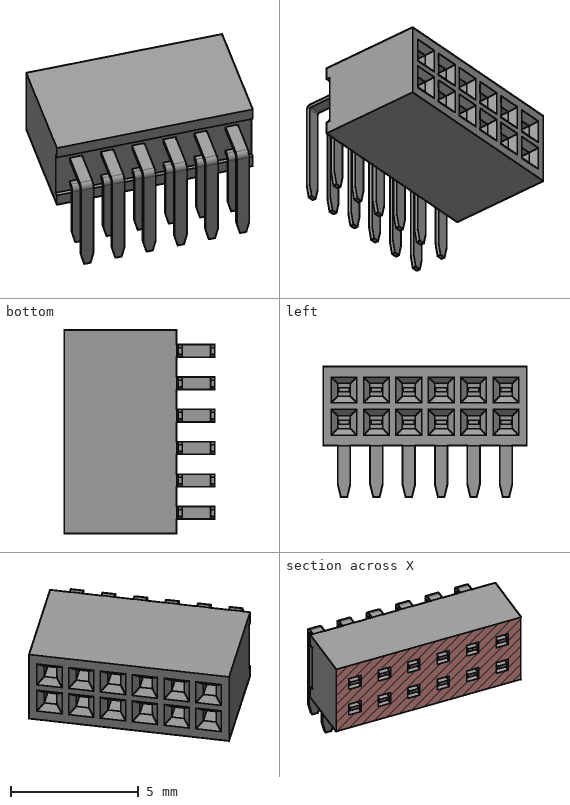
import cadquery as cq

housing_length = 4.4
housing_width = 7.97
housing_height = 3.1
recess_depth = 0.16
recess_margin = 0.52

columns = 6
pitch = 1.27
row_heights = (-pitch / 2, pitch / 2)
column_offsets = [(i - (columns - 1) / 2) * pitch for i in range(columns)]

socket_mouth = 1.005
socket_bore = 0.5
lead_in_depth = (socket_mouth - socket_bore) / 2
socket_depth = 2.39

overall_length = 5.89
overall_height = 5.12
pin_width = 0.5
pin_thickness = 0.16
bend_radius = 0.22
tip_length = 0.51
tip_width = 0.255
blade_width = 0.42
blade_length = 0.8

pin_bottom = housing_height / 2 - overall_height


def make_bar(start_x, length, width, height):
    """Box running along +X from start_x, centred on the X axis."""
    bar = cq.Workplane("XY").box(length, width, height, centered=(False, True, True))
    return bar.translate((start_x, 0, 0))


def make_housing():
    """Block with a full-width recess across its pin side."""
    block = make_bar(0, housing_length, housing_width, housing_height)
    recess_height = housing_height - 2 * recess_margin
    recess = make_bar(housing_length - recess_depth, recess_depth, housing_width, recess_height)
    return block.cut(recess)


def make_socket():
    """Square tapered mouth followed by a blind square bore, opening at X = 0."""
    lead_in = (
        cq.Workplane("YZ")
        .rect(socket_mouth, socket_mouth)
        .workplane(offset=lead_in_depth)
        .rect(socket_bore, socket_bore)
        .loft(ruled=True)
    )
    bore = cq.Workplane("YZ").rect(socket_bore, socket_bore).extrude(socket_depth)
    return lead_in.union(bore)


def make_pin(height, outer_x):
    """Blade in the socket, then a strip along X that bends down to a tapered tip."""
    top = height + pin_thickness / 2
    inner_radius = bend_radius - pin_thickness
    inner_x = outer_x - pin_thickness
    strip = (
        cq.Workplane("XZ")
        .moveTo(socket_depth, top)
        .lineTo(outer_x - bend_radius, top)
        .radiusArc((outer_x, top - bend_radius), bend_radius)
        .lineTo(outer_x, pin_bottom)
        .lineTo(inner_x, pin_bottom)
        .lineTo(inner_x, top - bend_radius)
        .radiusArc((inner_x - inner_radius, top - pin_thickness), -inner_radius)
        .lineTo(socket_depth, top - pin_thickness)
        .close()
        .extrude(pin_width / 2, both=True)
    )
    outline = (
        cq.Workplane("YZ")
        .polyline([
            (-tip_width / 2, pin_bottom),
            (tip_width / 2, pin_bottom),
            (pin_width / 2, pin_bottom + tip_length),
            (pin_width / 2, top),
            (-pin_width / 2, top),
            (-pin_width / 2, pin_bottom + tip_length),
        ])
        .close()
        .extrude(outer_x)
    )
    blade = make_bar(socket_depth - blade_length, blade_length, blade_width, pin_thickness)
    return strip.intersect(outline).union(blade.translate((0, 0, height)))


result = make_housing()
socket = make_socket()
for height in row_heights:
    outer_x = overall_length - (max(row_heights) - height)
    pin = make_pin(height, outer_x)
    for offset in column_offsets:
        result = result.cut(socket.translate((0, offset, height)))
        result = result.union(pin.translate((0, offset, 0)))